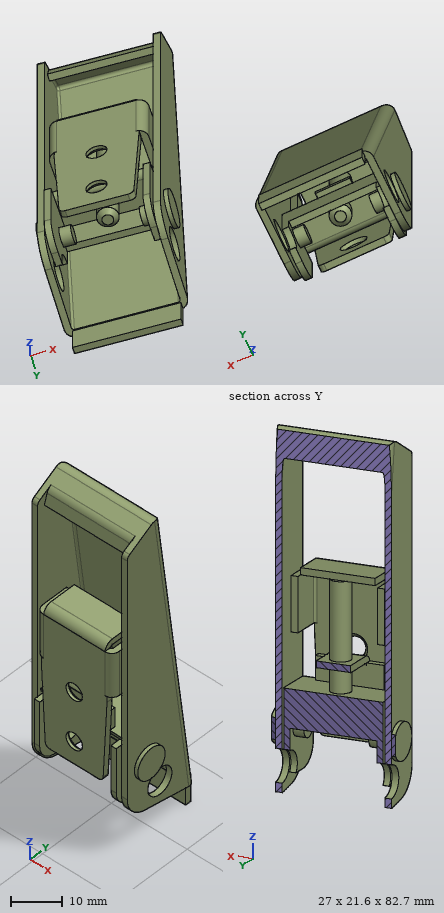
import cadquery as cq
import math


SHEET = 1.5
BEND_OUTER = 2.0
BEND_INNER = BEND_OUTER - SHEET

HANDLE_WIDTH = 25.2
HANDLE_INNER = HANDLE_WIDTH - 2 * SHEET
HANDLE_FRONT = -6.0
HANDLE_BOTTOM = -14.9
HANDLE_BACK = 13.9
BACK_ANGLE = 7.4
TOP_ANGLE = 30.0
TOP_CORNER_Z = 57.55
BASE_ANGLE = 10.0
TOE_RADIUS = 6.2
NOSE_RADIUS = 1.4
APEX_RADIUS = 2.15
TAIL_BACK = 14.05
TAIL_BOTTOM = -20.8
TAIL_OVERLAP = 1.2
LIP_START_Y = -3.0
LIP_LENGTH = 3.7
LIP_ANGLE = 17.0
LIP_BEND = 2.5
WINDOW_Y = 3.5
WINDOW_Z = -7.5
WINDOW_RADIUS = 3.5

TOTAL_WIDTH = 27.0
HEAD_RADIUS = 4.0
SHANK_RADIUS = 2.0
SHANK_INNER_X = 7.0

ROD_RADIUS = 2.2
ROD_CHAMFER = 1.1
ROD_BOTTOM = 2.1

LINK_WIDTH = 21.7
CHEEK_THICKNESS = 1.4
LINK_INNER = LINK_WIDTH - 2 * CHEEK_THICKNESS
CHEEK_FRONT = -7.3
CHEEK_TOP = 7.0
CHEEK_RADIUS = 4.8
CHEEK_ARC_Z = -4.6
BRIDGE_TOP = 8.6
BRIDGE_FRONT = -5.45
BRIDGE_RADIUS = 1.5
LINK_BACK = ROD_RADIUS + SHEET
REAR_WEB_BOTTOM = 0.4
FRONT_WEB_WIDTH = 14.9
FRONT_WEB_TOP = 13.65
TAB_WIDTH = 7.45
TAB_TOP = 15.1
TAB_BEND = BEND_OUTER

BASE_FRONT = -7.6
BASE_TOP = 33.1
BASE_BOTTOM = -3.3
BASE_HALF_TOP = 8.7
BASE_HALF_BOTTOM = 7.6
BASE_CORNER = 1.2
FLANGE_WIDTH = 16.2
FLANGE_BACK = 1.3
FLANGE_BEND = 2.2
EAR_WIDTH = 20.3
EAR_TOP = 31.2
EAR_BOTTOM = 19.6
TAPER_TOP = 18.2
SCREW_RADIUS = 2.15
SCREW_LAND = 0.75
SCREW_HEIGHTS = (2.65, 15.6)

BACK_EDGES = cq.selectors.ParallelDirSelector(
    cq.Vector(0, -math.sin(math.radians(BACK_ANGLE)), math.cos(math.radians(BACK_ANGLE)))
)
REACH = 49.6


def prism(sketch, width):
    """Extrude a YZ sketch symmetrically along X."""
    return sketch.extrude(width / 2, both=True)


def block(width, front, back, bottom, top):
    """Box centred on X = 0."""
    return cq.Workplane("XY").box(
        width, back - front, top - bottom, centered=(True, False, False)
    ).translate((0, front, bottom))


def x_cylinder(radius, start, end, y=0.0, z=0.0):
    """Cylinder along X from start to end."""
    return cq.Workplane("YZ", origin=(start, 0, 0)).center(y, z).circle(radius).extrude(end - start)


def z_cylinder(radius, bottom, top):
    """Cylinder along Z on the rod axis."""
    return cq.Workplane("XY", origin=(0, 0, bottom)).circle(radius).extrude(top - bottom)


def back_y(z, inset=0.0):
    """Y of the handle's sloped back at height z, moved inwards by inset."""
    slope = math.radians(BACK_ANGLE)
    return HANDLE_BACK - (z - HANDLE_BOTTOM) * math.tan(slope) - inset / math.cos(slope)


def top_z(y, inset=0.0):
    """Z of the handle's folded top at depth y, moved inwards by inset."""
    slope = math.radians(TOP_ANGLE)
    return TOP_CORNER_Z + (y - HANDLE_FRONT) * math.tan(slope) - inset / math.cos(slope)


def apex(inset=0.0):
    """Point where the sloped back and the folded top meet."""
    back_slope = math.tan(math.radians(BACK_ANGLE))
    top_slope = math.tan(math.radians(TOP_ANGLE))
    y = (back_y(0, inset) - back_slope * top_z(0, inset)) / (1 + back_slope * top_slope)
    return y, top_z(y, inset)


def edges_at(solid, y, z):
    """Edges along X that pass through the point (y, z)."""
    margin = 0.04
    low = (-REACH, y - margin, z - margin)
    high = (REACH, y + margin, z + margin)
    return solid.edges("|X").edges(cq.selectors.BoxSelector(low, high))


def handle_outline():
    """Full-width solid of the handle's side outline, with its bends and corners rounded."""
    toe_z = HANDLE_BOTTOM + (HANDLE_BACK - HANDLE_FRONT) * math.tan(math.radians(BASE_ANGLE))
    points = [(HANDLE_BACK, HANDLE_BOTTOM), (HANDLE_FRONT, toe_z), (HANDLE_FRONT, TOP_CORNER_Z), apex()]
    sharp = prism(cq.Workplane("YZ").polyline(points).close(), HANDLE_WIDTH)
    rounded = edges_at(sharp, HANDLE_FRONT, toe_z).fillet(TOE_RADIUS)
    rounded = edges_at(rounded, HANDLE_FRONT, TOP_CORNER_Z).fillet(NOSE_RADIUS)
    rounded = edges_at(rounded, *apex()).fillet(APEX_RADIUS)
    bent = sharp.edges(BACK_EDGES).fillet(BEND_OUTER)
    return rounded.intersect(bent)


def handle_spine():
    """Back, folded top and lip as one bent sheet between the walls."""
    slope = math.radians(TOP_ANGLE)
    lean = math.radians(LIP_ANGLE)
    top_normal = (math.sin(slope), -math.cos(slope))
    lip_normal = (math.cos(lean), -math.sin(lean))
    lip_corner = (LIP_START_Y, top_z(LIP_START_Y))
    miter = SHEET / (1 + top_normal[0] * lip_normal[0] + top_normal[1] * lip_normal[1])
    inner_corner = (
        lip_corner[0] + miter * (top_normal[0] + lip_normal[0]),
        lip_corner[1] + miter * (top_normal[1] + lip_normal[1]),
    )
    lip_end = (
        lip_corner[0] - LIP_LENGTH * math.sin(lean),
        lip_corner[1] - LIP_LENGTH * math.cos(lean),
    )
    inner_end = (lip_end[0] + SHEET * lip_normal[0], lip_end[1] + SHEET * lip_normal[1])
    points = [
        (HANDLE_BACK, HANDLE_BOTTOM),
        apex(),
        lip_corner,
        lip_end,
        inner_end,
        inner_corner,
        apex(SHEET),
        (back_y(HANDLE_BOTTOM, SHEET), HANDLE_BOTTOM),
    ]
    spine = prism(cq.Workplane("YZ").polyline(points).close(), HANDLE_WIDTH)
    spine = edges_at(spine, *lip_corner).fillet(LIP_BEND)
    return edges_at(spine, *apex(SHEET)).fillet(APEX_RADIUS - SHEET)


def make_handle():
    """Handle: two walls and the spine, rounded along the back bends."""
    outline = handle_outline()
    walls = outline.cut(block(HANDLE_INNER, -REACH, REACH, -REACH, 2 * REACH))
    handle = walls.union(handle_spine().intersect(outline))
    inner_edges = cq.selectors.BoxSelector(
        (-HANDLE_INNER / 2 - 0.1, -REACH, -REACH), (HANDLE_INNER / 2 + 0.1, REACH, 2 * REACH)
    )
    handle = handle.edges(BACK_EDGES).edges(inner_edges).fillet(BEND_INNER)
    tail = block(HANDLE_INNER, TAIL_BACK - SHEET, TAIL_BACK, TAIL_BOTTOM, HANDLE_BOTTOM + TAIL_OVERLAP)
    window = x_cylinder(WINDOW_RADIUS, -REACH, REACH, WINDOW_Y, WINDOW_Z)
    holes = x_cylinder(SHANK_RADIUS, -REACH, REACH)
    return handle.union(tail).cut(window).cut(holes)


def make_link():
    """Link: cheeks on the pivots, with webs in front of and behind the rod."""
    bottom = CHEEK_ARC_Z - CHEEK_RADIUS
    cheek_outline = (
        cq.Workplane("YZ")
        .moveTo(CHEEK_FRONT, CHEEK_TOP)
        .lineTo(CHEEK_FRONT, CHEEK_ARC_Z)
        .radiusArc((CHEEK_FRONT + CHEEK_RADIUS, bottom), -CHEEK_RADIUS)
        .lineTo(LINK_BACK, bottom)
        .lineTo(LINK_BACK, CHEEK_TOP)
        .close()
    )
    cheeks = prism(cheek_outline, LINK_WIDTH).cut(block(LINK_INNER, -REACH, REACH, -REACH, REACH))

    bridge = block(LINK_WIDTH, BRIDGE_FRONT, LINK_BACK, CHEEK_TOP, BRIDGE_TOP)
    bridge = edges_at(bridge, BRIDGE_FRONT, CHEEK_TOP).fillet(BRIDGE_RADIUS)
    rear_web = block(LINK_INNER, ROD_RADIUS, LINK_BACK, REAR_WEB_BOTTOM, CHEEK_TOP)

    web_back = BRIDGE_FRONT + SHEET
    front_web = block(FRONT_WEB_WIDTH, BRIDGE_FRONT, web_back, BRIDGE_TOP, FRONT_WEB_TOP)
    tab = block(TAB_WIDTH, BRIDGE_FRONT, LINK_BACK, BRIDGE_TOP, TAB_TOP)
    tab = edges_at(tab, BRIDGE_FRONT, TAB_TOP).fillet(TAB_BEND)
    under_tab = block(TAB_WIDTH, web_back, LINK_BACK, BRIDGE_TOP, TAB_TOP - SHEET)
    under_tab = edges_at(under_tab, web_back, TAB_TOP - SHEET).fillet(TAB_BEND - SHEET)

    link = cheeks.union(bridge).union(rear_web).union(front_web).union(tab.cut(under_tab))
    window = x_cylinder(WINDOW_RADIUS, -REACH, REACH, WINDOW_Y, WINDOW_Z)
    pivots = x_cylinder(SHANK_RADIUS, -REACH, REACH)
    rod_hole = z_cylinder(ROD_RADIUS, -REACH, REACH)
    return link.cut(window).cut(pivots).cut(rod_hole)


def screw_hole(height):
    """Cutter for a screw hole with a 45 degree countersink on the back of the base plate."""
    sink_depth = SHEET - SCREW_LAND
    hole = cq.Workplane("XZ", origin=(0, BASE_FRONT + SHEET, height)).circle(SCREW_RADIUS).extrude(SHEET)
    cone = cq.Solid.makeCone(
        SCREW_RADIUS + sink_depth,
        SCREW_RADIUS,
        sink_depth,
        pnt=cq.Vector(0, BASE_FRONT + SHEET, height),
        dir=cq.Vector(0, -1, 0),
    )
    return hole.union(cq.Workplane(obj=cone))


def make_base():
    """Base: tapered plate with screw holes, a bent top flange and bent side ears."""
    plate_back = BASE_FRONT + SHEET
    half_flange = FLANGE_WIDTH / 2
    bend_bottom = BASE_TOP - FLANGE_BEND
    points = [
        (-BASE_HALF_BOTTOM, BASE_BOTTOM),
        (BASE_HALF_BOTTOM, BASE_BOTTOM),
        (BASE_HALF_TOP, TAPER_TOP),
        (BASE_HALF_TOP, EAR_BOTTOM),
        (half_flange, EAR_BOTTOM),
        (half_flange, bend_bottom),
        (-half_flange, bend_bottom),
        (-half_flange, EAR_BOTTOM),
        (-BASE_HALF_TOP, EAR_BOTTOM),
        (-BASE_HALF_TOP, TAPER_TOP),
    ]
    plate = cq.Workplane("XZ", origin=(0, plate_back, 0)).polyline(points).close().extrude(SHEET)
    plate = plate.edges("|Y").edges("<Z").fillet(BASE_CORNER)

    flange = block(FLANGE_WIDTH, BASE_FRONT, FLANGE_BACK, EAR_BOTTOM, BASE_TOP)
    flange = edges_at(flange, BASE_FRONT, BASE_TOP).fillet(FLANGE_BEND)
    flange_space = block(FLANGE_WIDTH, plate_back, FLANGE_BACK, EAR_BOTTOM, BASE_TOP - SHEET)
    flange_space = edges_at(flange_space, plate_back, BASE_TOP - SHEET).fillet(FLANGE_BEND - SHEET)

    ears = block(EAR_WIDTH, BASE_FRONT, FLANGE_BACK, EAR_BOTTOM, EAR_TOP)
    ears = ears.edges("|Z").edges("<Y").fillet(BEND_OUTER)
    ear_space = block(EAR_WIDTH - 2 * SHEET, plate_back, FLANGE_BACK, EAR_BOTTOM, EAR_TOP)
    ear_space = ear_space.edges("|Z").edges("<Y").fillet(BEND_INNER)

    base = plate.union(flange.cut(flange_space)).union(ears.cut(ear_space))
    for height in SCREW_HEIGHTS:
        base = base.cut(screw_hole(height))
    return base


def make_rod():
    """Draw rod with a chamfered lower end, reaching up to the base flange."""
    return z_cylinder(ROD_RADIUS, ROD_BOTTOM, BASE_TOP - SHEET).faces("<Z").chamfer(ROD_CHAMFER)


def make_rivet(side):
    """Pivot rivet on one side (-1 or 1), its head against the handle wall."""
    shank = x_cylinder(SHANK_RADIUS, SHANK_INNER_X, HANDLE_WIDTH / 2)
    head = x_cylinder(HEAD_RADIUS, HANDLE_WIDTH / 2, TOTAL_WIDTH / 2)
    rivet = shank.union(head)
    return rivet if side > 0 else rivet.mirror("YZ")


handle = make_handle()
link = make_link()
base = make_base()
rod = make_rod()
rivets = [make_rivet(side) for side in (-1, 1)]

result = cq.Compound.makeCompound(
    [handle.val(), link.val(), base.val(), rod.val(), *[rivet.val() for rivet in rivets]]
)